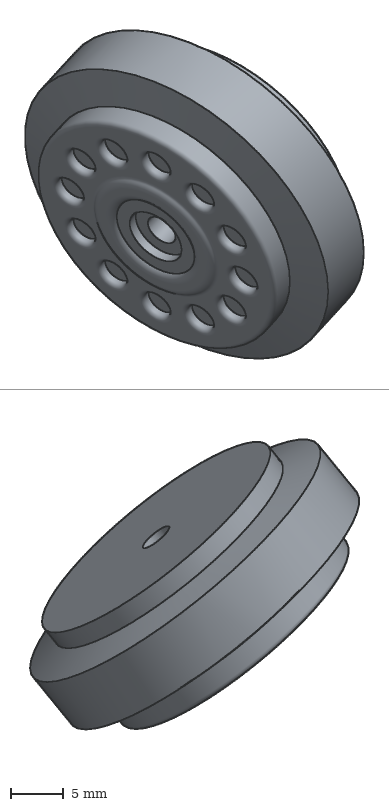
import cadquery as cq
import math


tyre_radius = 17.5
tread_half_width = 3.0
tyre_half_width = 4.0

hub_radius = 13.75
hub_back = 6.0
hub_front = -6.5
hub_edge_round = 0.5

ring_height = 0.5
ring_top_outer_radius = 6.2
ring_top_inner_radius = 5.35
ring_round = 1.0
ring_foot_round = 0.5

bore_diameter = 3.2
counterbore_diameter = 6.0
counterbore_depth = 1.0

dimple_count = 12
dimple_circle_radius = 10.0
dimple_diameter = 3.0
dimple_depth = 1.0
dimple_rim_round = 0.5

ring_top = hub_front - ring_height
recess_floor = hub_front

ring_round_y = ring_top + ring_round
foot_round_y = hub_front - ring_foot_round
round_centre_distance = ring_round + ring_foot_round
outer_lean = math.acos((ring_round_y - foot_round_y) / round_centre_distance)
ring_foot_radius = ring_top_outer_radius + round_centre_distance * math.sin(outer_lean)

inner_lean = math.acos((ring_round_y - recess_floor) / ring_round)

arc_middle = math.sqrt(0.5)


def revolve_about_axle(profile):
    """Turn an (X, Y) half profile around the Y axis."""
    return profile.close().revolve(360, (0, 0, 0), (0, 1, 0))


def cylinder_from(y_start, diameter, depth):
    """Cylinder along the axle, running from y_start toward +Y."""
    plane = cq.Workplane("XZ", origin=(0, y_start, 0))
    return plane.circle(diameter / 2).extrude(-depth)


def arc_point(centre_radius, centre_y, round_radius, lean):
    """Point on a round, leaning from the axle direction; a negative radius gives the opposite side."""
    return (
        centre_radius + round_radius * math.sin(lean),
        centre_y - round_radius * math.cos(lean),
    )


def make_tyre():
    """Ring with a flat tread and conical sides that run down to the hub."""
    profile = (
        cq.Workplane("XY")
        .moveTo(hub_radius, -tyre_half_width)
        .lineTo(tyre_radius, -tread_half_width)
        .lineTo(tyre_radius, tread_half_width)
        .lineTo(hub_radius, tyre_half_width)
    )
    return revolve_about_axle(profile)


def make_hub_blank():
    """Hub disc with its rounded front edge, raised ring and the flat recess inside the ring."""
    profile = (
        cq.Workplane("XY")
        .moveTo(0, hub_back)
        .lineTo(hub_radius, hub_back)
        .lineTo(hub_radius, hub_front + hub_edge_round)
        .threePointArc(
            (
                hub_radius - hub_edge_round * (1 - arc_middle),
                hub_front + hub_edge_round * (1 - arc_middle),
            ),
            (hub_radius - hub_edge_round, hub_front),
        )
        .lineTo(ring_foot_radius, hub_front)
        .threePointArc(
            arc_point(ring_foot_radius, foot_round_y, -ring_foot_round, outer_lean / 2),
            arc_point(ring_foot_radius, foot_round_y, -ring_foot_round, outer_lean),
        )
        .threePointArc(
            arc_point(ring_top_outer_radius, ring_round_y, ring_round, outer_lean / 2),
            (ring_top_outer_radius, ring_top),
        )
        .lineTo(ring_top_inner_radius, ring_top)
        .threePointArc(
            arc_point(ring_top_inner_radius, ring_round_y, ring_round, -inner_lean / 2),
            arc_point(ring_top_inner_radius, ring_round_y, ring_round, -inner_lean),
        )
        .lineTo(0, recess_floor)
    )
    return revolve_about_axle(profile)


def make_dimple_cutter():
    """Blind round hole with a rounded rim, centred on the axle."""
    radius = dimple_diameter / 2
    rim_radius = radius + dimple_rim_round
    profile = (
        cq.Workplane("XY")
        .moveTo(0, hub_front)
        .lineTo(rim_radius, hub_front)
        .threePointArc(
            (
                rim_radius - dimple_rim_round * arc_middle,
                hub_front + dimple_rim_round * (1 - arc_middle),
            ),
            (radius, hub_front + dimple_rim_round),
        )
        .lineTo(radius, hub_front + dimple_depth)
        .lineTo(0, hub_front + dimple_depth)
    )
    return revolve_about_axle(profile)


def make_hub():
    """Hub with its stepped axle bore and ring of dimples."""
    hub = make_hub_blank()
    hub = hub.cut(cylinder_from(recess_floor, bore_diameter, hub_back - recess_floor))
    hub = hub.cut(cylinder_from(recess_floor, counterbore_diameter, counterbore_depth))
    dimple = make_dimple_cutter().translate((dimple_circle_radius, 0, 0))
    for index in range(dimple_count):
        angle = 360 / dimple_count * index
        hub = hub.cut(dimple.rotate((0, 0, 0), (0, 1, 0), angle))
    return hub


tyre = make_tyre()
hub = make_hub()
result = cq.Compound.makeCompound([tyre.val(), hub.val()])